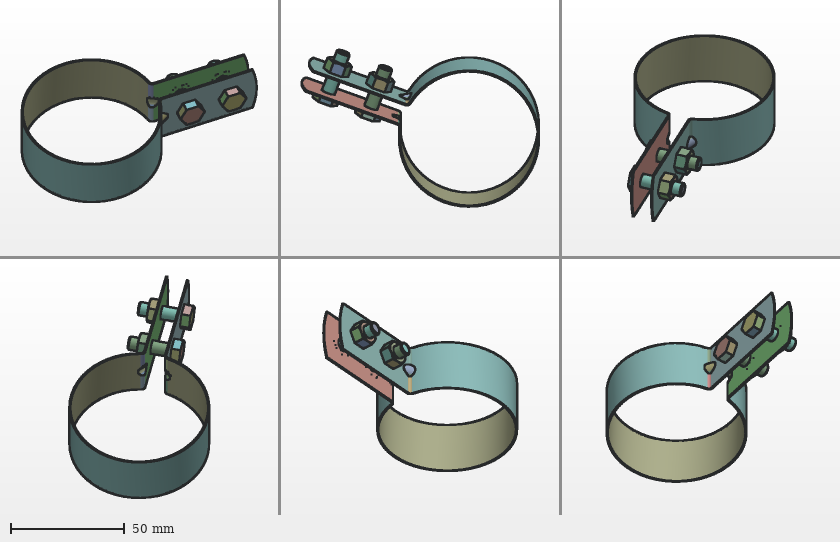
import cadquery as cq
import math

ring_diameter = 61.7
strap_thickness = 0.57
strap_width = 25.0
overall_length = 107.7
flange_span = 10.0
bend_radius = 1.4
tip_radius = 40.0

ring_radius = ring_diameter / 2
flange_tip = overall_length - ring_radius
flange_face = flange_span / 2

bead_radius = 3.8
bead_start = 34.5
bead_slope = 30.0
flank_angle = 40.0
bead_depth = 3.2
bead_length = 7.5
bead_overrun = 1.1

bolt_diameter = 6.0
bolt_tip_diameter = 5.0
bolt_length = 19.8
hex_across_flats = 10.0
head_height = 4.1
nut_height = 5.2
nut_chamfer_angle = 30.0
bolt_count = 2
bolt_spacing = 19.9
outer_bolt_inset = 12.5

bolt_radius = bolt_diameter / 2
hex_corner_radius = hex_across_flats / 2 / math.cos(math.pi / 6)
bolt_positions = [flange_tip - outer_bolt_inset - i * bolt_spacing for i in range(bolt_count)]


def x_cylinder(radius, x_start, x_end, y):
    """Cylinder along X at height Z = 0."""
    return cq.Workplane("YZ", origin=(x_start, y, 0)).circle(radius).extrude(x_end - x_start)


def x_hexagon(x_start, x_end, y):
    """Hexagonal prism along X with two corners pointing along Y."""
    return cq.Workplane("YZ", origin=(x_start, y, 0)).polygon(6, 2 * hex_corner_radius).extrude(x_end - x_start)


def keyhole(radius, half_span, fillet_radius):
    """Disc joined to a straight neck along +Y, with the two inside corners rounded."""
    corner_y = math.sqrt(radius**2 - half_span**2)
    neck = cq.Workplane("XY").center(0, flange_tip / 2).rect(2 * half_span, flange_tip)
    neck = neck.extrude(strap_width / 2, both=True)
    body = cq.Workplane("XY").circle(radius).extrude(strap_width / 2, both=True).union(neck)
    for side in (-1, 1):
        corner = cq.selectors.NearestToPointSelector((side * half_span, corner_y, 0))
        body = body.edges("|Z").edges(corner).fillet(fillet_radius)
    return body


def tip_envelope():
    """Side outline of the strap, with an arc at the flange end."""
    half_width = strap_width / 2
    shoulder = flange_tip - tip_radius + math.sqrt(tip_radius**2 - half_width**2)
    return (
        cq.Workplane("YZ")
        .moveTo(-ring_radius, -half_width)
        .lineTo(shoulder, -half_width)
        .threePointArc((flange_tip, 0), (shoulder, half_width))
        .lineTo(-ring_radius, half_width)
        .close()
        .extrude(ring_radius, both=True)
    )


def bead_prism(inset):
    """Round-topped, flared prism along the -X bead crest, inset from the bead's outer face."""
    slope = math.radians(bead_slope)
    flank = math.radians(flank_angle)
    radius = bead_radius - inset
    tangent_y = radius * math.sin(flank)
    tangent_x = bead_radius - radius * math.cos(flank)
    base_y = tangent_y + (bead_depth - tangent_x) / math.tan(flank)
    crest = cq.Plane(
        origin=(-flange_face, bead_start, 0),
        xDir=(math.cos(slope), -math.sin(slope), 0),
        normal=(-math.sin(slope), -math.cos(slope), 0),
    )
    return (
        cq.Workplane(crest)
        .workplane(offset=-bead_overrun)
        .moveTo(bead_depth, -base_y)
        .lineTo(tangent_x, -tangent_y)
        .threePointArc((inset, 0), (tangent_x, tangent_y))
        .lineTo(bead_depth, base_y)
        .close()
        .extrude(bead_length + bead_overrun)
    )


def make_strap():
    outside = keyhole(ring_radius, flange_face, bend_radius)
    inside = keyhole(
        ring_radius - strap_thickness, flange_face - strap_thickness, bend_radius + strap_thickness
    )
    body = outside.cut(inside).intersect(tip_envelope())
    outer_bead = bead_prism(0).cut(inside)
    inner_bead = bead_prism(strap_thickness)
    body = body.union(outer_bead).union(outer_bead.mirror("YZ"))
    body = body.cut(inner_bead).cut(inner_bead.mirror("YZ"))
    for y in bolt_positions:
        body = body.cut(x_cylinder(bolt_radius, -flange_span, flange_span, y))
    return body


def make_bolt(y):
    shank = x_cylinder(bolt_radius, flange_face - bolt_length, flange_face, y)
    shank = shank.faces("<X").chamfer((bolt_diameter - bolt_tip_diameter) / 2)
    return shank.union(x_hexagon(flange_face, flange_face + head_height, y))


def make_nut(y):
    outer_face = -flange_face - nut_height
    chamfer_width = hex_corner_radius - hex_across_flats / 2
    chamfer_depth = chamfer_width * math.tan(math.radians(nut_chamfer_angle))
    chamfered_blank = (
        x_cylinder(hex_corner_radius, outer_face, -flange_face, y)
        .faces("<X")
        .chamfer(chamfer_depth, chamfer_width)
    )
    body = x_hexagon(outer_face, -flange_face, y).intersect(chamfered_blank)
    return body.cut(x_cylinder(bolt_radius, outer_face, -flange_face, y))


strap = make_strap()
bolts = [make_bolt(y) for y in bolt_positions]
nuts = [make_nut(y) for y in bolt_positions]

result = cq.Compound.makeCompound(
    [strap.val(), *[bolt.val() for bolt in bolts], *[nut.val() for nut in nuts]]
)